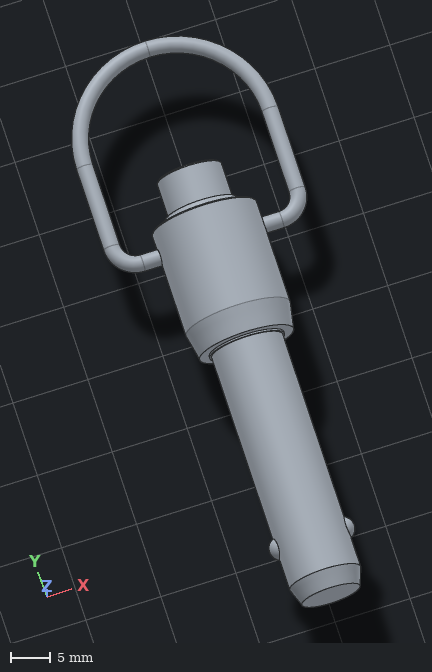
import cadquery as cq


shank_diameter = 9.525
shank_length = 34.7
tip_diameter = 7.8
tip_taper_length = 2.35
collar_diameter = 10.0
collar_length = 0.25

ball_diameter = 3.175
ball_span = 11.35
ball_distance_from_tip = 7.85

body_diameter = 13.97
body_length = 17.5
body_taper_length = 3.5
body_taper_end_diameter = 12.6
body_edge_chamfer = 0.2

neck_base_diameter = 10.6
neck_top_diameter = 9.7
neck_length = 1.1
button_diameter = 8.64
button_length = 5.15
button_edge_chamfer = 0.25

wire_diameter = 2.2
ring_width = 26.92
overall_length = 76.58
ring_straight_length = 11.1
ring_bend_radius = 3.1

tip_y = -shank_length
neck_base_y = body_length
neck_top_y = neck_base_y + neck_length
button_top_y = neck_top_y + button_length
ring_half_width = (ring_width - wire_diameter) / 2
ring_crown_y = tip_y + overall_length - wire_diameter / 2
ring_arc_centre_y = ring_crown_y - ring_half_width
ring_bend_top_y = ring_arc_centre_y - ring_straight_length
ring_foot_y = ring_bend_top_y - ring_bend_radius


def make_frustum(start_y, length, start_diameter, end_diameter):
    """Solid of revolution about Y, tapering evenly towards +Y."""
    start_radius = start_diameter / 2
    end_radius = end_diameter / 2
    end_y = start_y + length
    profile = (
        cq.Workplane("XY")
        .moveTo(0, start_y)
        .lineTo(start_radius, start_y)
        .lineTo(end_radius, end_y)
        .lineTo(0, end_y)
        .close()
    )
    return profile.revolve(360, (0, 0, 0), (0, 1, 0))


def make_cylinder(start_y, length, diameter):
    return make_frustum(start_y, length, diameter, diameter)


def make_shank():
    tip = make_frustum(tip_y, tip_taper_length, tip_diameter, shank_diameter)
    straight_start_y = tip_y + tip_taper_length
    straight = make_cylinder(straight_start_y, -straight_start_y, shank_diameter)
    collar = make_cylinder(-collar_length, collar_length, collar_diameter)
    return tip.union(straight).union(collar)


def make_body():
    taper = make_frustum(0, body_taper_length, body_taper_end_diameter, body_diameter)
    barrel = make_cylinder(body_taper_length, body_length - body_taper_length, body_diameter)
    barrel = barrel.faces(">Y").edges().chamfer(body_edge_chamfer)
    return taper.union(barrel)


def make_button():
    neck = make_frustum(neck_base_y, neck_length, neck_base_diameter, neck_top_diameter)
    button = make_cylinder(neck_top_y, button_length, button_diameter)
    button = button.faces(">Y").edges().chamfer(button_edge_chamfer)
    return neck.union(button)


def make_ball(side):
    centre_x = side * (ball_span - ball_diameter) / 2
    centre_y = tip_y + ball_distance_from_tip
    return cq.Workplane("XY").sphere(ball_diameter / 2).translate((centre_x, centre_y, 0))


def make_half_ring(side):
    """Wire from inside the body, round the lower bend and up to the crown."""
    outer_x = side * ring_half_width
    bend_centre_x = side * (ring_half_width - ring_bend_radius)
    foot_x = side * shank_diameter / 2
    path = (
        cq.Workplane("XY")
        .moveTo(foot_x, ring_foot_y)
        .lineTo(bend_centre_x, ring_foot_y)
        .tangentArcPoint((outer_x, ring_bend_top_y), relative=False)
        .lineTo(outer_x, ring_arc_centre_y)
        .tangentArcPoint((0, ring_crown_y), relative=False)
    )
    section = cq.Workplane("YZ", origin=(foot_x, ring_foot_y, 0)).circle(wire_diameter / 2)
    return section.sweep(path)


result = make_body().union(make_shank()).union(make_button())
for side in (-1, 1):
    result = result.union(make_ball(side))
    result = result.union(make_half_ring(side))